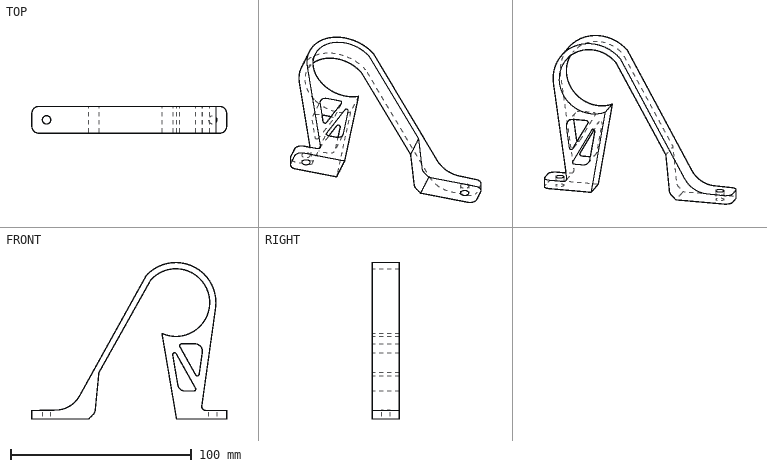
import cadquery as cq
import math

length = 108.0
width = 15.0
height = 86.8
foot_thickness = 5.0
foot_corner_radius = 4.0

loop_outer_radius = 22.2
loop_wall = 3.6
loop_inner_radius = loop_outer_radius - loop_wall
loop_x = 79.8
loop_z = height - loop_outer_radius
arm_joint_angle = 137.7

left_foot_slope = 1.0
arm_angle = 61.0
arm_fillet = 15.0
heel_start_x = 31.4
heel_corner = (35.1, 3.7)
heel_fillet = 3.8
arm_inner_bottom = (37.3, 25.8)

leg_bottom_x = 80.1
leg_tip_x = 72.0
leg_lean = 8.0
leg_foot_fillet = 2.0

window_wall = 4.0
window_bottom_z = 15.7
window_top_z = 41.7
brace_angle = -60.8
brace_upper_point = (82.5, 39.4)
brace_thickness = 3.8
window_large_radius = 4.0
window_small_radius = 1.0

hole_diameter = 4.5
left_hole_x = 8.2
right_hole_x = 100.2
hole_cut_height = 2 * foot_thickness


def on_loop(radius, angle):
    """Point at an angle on a circle about the loop centre."""
    a = math.radians(angle)
    return (loop_x + radius * math.cos(a), loop_z + radius * math.sin(a))


def line_x(point, angle, z):
    """X at height z on the line through a point at an angle from +X."""
    return point[0] + (z - point[1]) / math.tan(math.radians(angle))


def crossing(point_a, angle_a, point_b, angle_b):
    """Crossing point of two lines, each given by a point and an angle from +X."""
    cot_a = 1 / math.tan(math.radians(angle_a))
    cot_b = 1 / math.tan(math.radians(angle_b))
    z = (point_b[0] - point_a[0] + point_a[1] * cot_a - point_b[1] * cot_b) / (cot_a - cot_b)
    return (line_x(point_a, angle_a, z), z)


def extrude_centered(sketch):
    return sketch.extrude(width / 2, both=True)


def round_edge(body, point, radius):
    """Round the cross-width edge that passes through an X-Z point."""
    edge = cq.selectors.NearestToPointSelector((point[0], 0, point[1]))
    return body.edges("|Y").edges(edge).fillet(radius)


leg_tip_z = loop_z - math.sqrt(loop_inner_radius**2 - (leg_tip_x - loop_x) ** 2)
leg_tip = (leg_tip_x, leg_tip_z)
leg_bottom = (leg_bottom_x, 0)
leg_left_angle = math.degrees(math.atan2(leg_tip_z, leg_tip_x - leg_bottom_x))
leg_right_angle = 90 - leg_lean
leg_tangent = on_loop(loop_outer_radius, -leg_lean)


def make_profile():
    arm_outer_top = on_loop(loop_outer_radius, arm_joint_angle)
    slope_start = (foot_corner_radius, foot_thickness)
    arm_root = crossing(slope_start, left_foot_slope, arm_outer_top, arm_angle)
    leg_root = (line_x(leg_tangent, leg_right_angle, foot_thickness), foot_thickness)
    middle_angle = (arm_joint_angle - leg_lean) / 2
    body = extrude_centered(
        cq.Workplane("XZ")
        .lineTo(heel_start_x, 0)
        .lineTo(*heel_corner)
        .lineTo(*arm_inner_bottom)
        .lineTo(*on_loop(loop_inner_radius, arm_joint_angle))
        .threePointArc(on_loop(loop_inner_radius, 0), leg_tip)
        .lineTo(*leg_bottom)
        .lineTo(length, 0)
        .lineTo(length, foot_thickness)
        .lineTo(*leg_root)
        .lineTo(*leg_tangent)
        .threePointArc(on_loop(loop_outer_radius, middle_angle), arm_outer_top)
        .lineTo(*arm_root)
        .lineTo(*slope_start)
        .lineTo(0, foot_thickness)
        .close()
    )
    body = round_edge(body, arm_root, arm_fillet)
    body = round_edge(body, heel_corner, heel_fillet)
    return round_edge(body, leg_root, leg_foot_fillet)


def make_window(level_z, wall_point, wall_angle, brace_point):
    """Triangle between a level edge, a leg wall and the brace."""
    large_corner = (line_x(wall_point, wall_angle, level_z), level_z)
    level_corner = (line_x(brace_point, brace_angle, level_z), level_z)
    far_corner = crossing(wall_point, wall_angle, brace_point, brace_angle)
    corners = [large_corner, level_corner, far_corner]
    window = extrude_centered(cq.Workplane("XZ").polyline(corners).close())
    window = round_edge(window, large_corner, window_large_radius)
    window = round_edge(window, level_corner, window_small_radius)
    return round_edge(window, far_corner, window_small_radius)


def make_windows():
    left_shift = window_wall / math.sin(math.radians(leg_left_angle))
    right_shift = window_wall / math.sin(math.radians(leg_right_angle))
    brace_shift = brace_thickness / math.sin(math.radians(-brace_angle))
    left_wall = (leg_bottom_x + left_shift, 0)
    right_wall = (leg_tangent[0] - right_shift, leg_tangent[1])
    brace_lower_point = (brace_upper_point[0] - brace_shift, brace_upper_point[1])
    upper = make_window(window_top_z, right_wall, leg_right_angle, brace_upper_point)
    lower = make_window(window_bottom_z, left_wall, leg_left_angle, brace_lower_point)
    return upper, lower


def make_holes():
    return (
        cq.Workplane("XY")
        .pushPoints([(left_hole_x, 0), (right_hole_x, 0)])
        .circle(hole_diameter / 2)
        .extrude(hole_cut_height)
    )


result = make_profile()
for window in make_windows():
    result = result.cut(window)
for foot_end in ("<X", ">X"):
    result = result.faces(foot_end).edges("|Z").fillet(foot_corner_radius)
result = result.cut(make_holes())